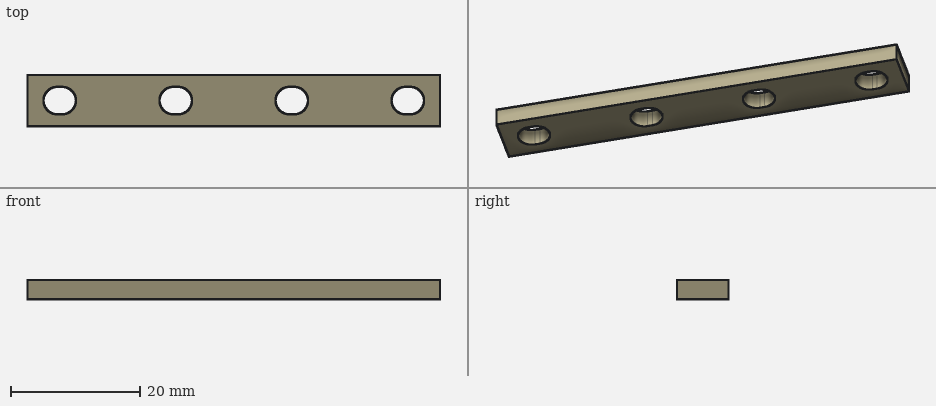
import cadquery as cq

bar_length = 64.0
bar_width = 8.0
bar_thickness = 3.0

slot_count = 4
slot_pitch = 18.0
slot_length = 5.0
slot_width = 4.2

bar = cq.Workplane("XY").box(bar_length, bar_width, bar_thickness, centered=(True, True, False))

result = (
    bar.faces(">Z")
    .workplane()
    .rarray(slot_pitch, bar_width, slot_count, 1)
    .slot2D(slot_length, slot_width)
    .cutThruAll()
)